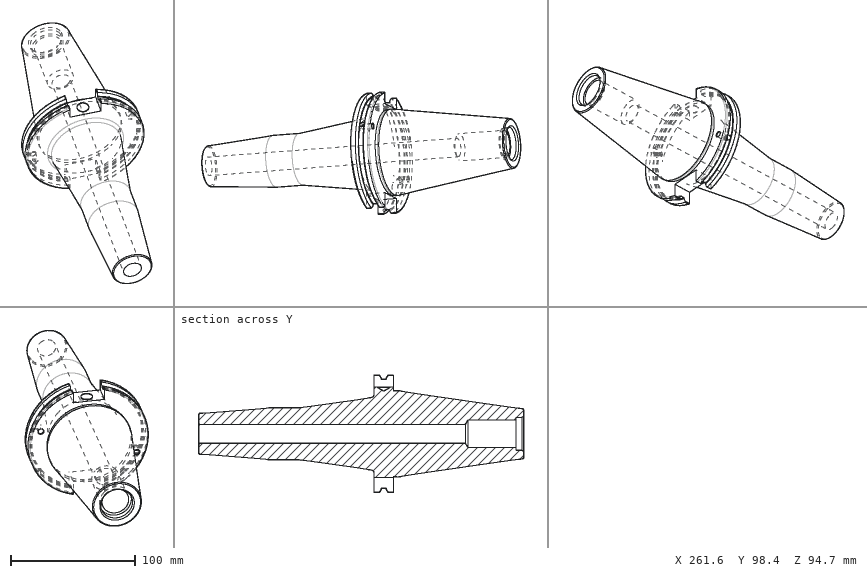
import cadquery as cq
import math

GAUGE_DIA = 69.85
TAPER_RATIO = 7 / 24
TAPER_LENGTH = 101.6
TAPER_END_CHAMFER = 0.8
RELIEF_DIA = 69.25
RELIEF_CHAMFER_LENGTH = 1.3

FLANGE_DIA = 98.43
FLANGE_START = 3.175
FLANGE_END = 19.05
FLANGE_FILLET = 1.0
GROOVE_MOUTH = 7.0
GROOVE_FLANK_DIA = 93.2
GROOVE_FLOOR_DIA = 91.4
GROOVE_FLANK_ANGLE = 30

NOSE_LENGTH = 160.0
NECK_ROOT_DIA = 59.2
NECK_FILLET = 2.5
BARREL_DIA = 42.0
BARREL_START = 80.0
TIP_DIA = 33.0
TIP_HALF_ANGLE = 4.5
TIP_CHAMFER = 0.8

BORE_MOUTH_DIA = 28.4
BORE_MOUTH_CHAMFER = 1.73
PILOT_DIA = 26.2
PILOT_DEPTH = 6.3
THREAD_DIA = 21.97
THREAD_DEPTH = 45.0
THROUGH_DIA = 14.92

DRILL_HALF_ANGLE = 59

SLOT_WIDTH = 25.7
SLOT_MOUTH_CHAMFER = 0.6
UPPER_SLOT_FLOOR = 37.7
LOWER_SLOT_FLOOR = 35.3
DIMPLE_DIA = 9.53
DIMPLE_DEPTH = 0.5

COOLANT_ANGLE = 20
COOLANT_RADIUS = 42.0
COOLANT_DIA = 4.2
COOLANT_MOUTH_DIA = 5.0
CROSS_HOLE_DIA = 4.13

FLANGE_MIDDLE = (FLANGE_START + FLANGE_END) / 2
ARC_MIDPOINT_FRACTION = 1 - math.sqrt(0.5)


def make_body():
    """Revolve the whole outside about the X axis."""
    end_radius = (GAUGE_DIA - TAPER_LENGTH * TAPER_RATIO) / 2
    chamfer_radius = end_radius + TAPER_END_CHAMFER * TAPER_RATIO / 2
    flange_radius = FLANGE_DIA / 2
    floor_radius = GROOVE_FLOOR_DIA / 2
    flank_radius = GROOVE_FLANK_DIA / 2
    flank_run = (flange_radius - flank_radius) * math.tan(math.radians(GROOVE_FLANK_ANGLE))
    mouth_half = GROOVE_MOUTH / 2
    floor_half = mouth_half - flank_run
    fillet_offset = FLANGE_FILLET * ARC_MIDPOINT_FRACTION
    shoulder_radius = flange_radius - FLANGE_FILLET

    neck_slope = (NECK_ROOT_DIA - BARREL_DIA) / 2 / (BARREL_START - FLANGE_END)
    neck_start = FLANGE_END + NECK_FILLET
    neck_radius = NECK_ROOT_DIA / 2 - NECK_FILLET * neck_slope
    neck_arc_offset = NECK_FILLET * ARC_MIDPOINT_FRACTION
    barrel_radius = BARREL_DIA / 2
    tip_radius = TIP_DIA / 2
    tip_slope = math.tan(math.radians(TIP_HALF_ANGLE))
    barrel_end = NOSE_LENGTH - (barrel_radius - tip_radius) / tip_slope

    profile = (
        cq.Workplane("XY")
        .moveTo(-TAPER_LENGTH, 0)
        .lineTo(-TAPER_LENGTH, end_radius - TAPER_END_CHAMFER)
        .lineTo(TAPER_END_CHAMFER - TAPER_LENGTH, chamfer_radius)
        .lineTo(0, GAUGE_DIA / 2)
        .lineTo(RELIEF_CHAMFER_LENGTH, RELIEF_DIA / 2)
        .lineTo(FLANGE_START, RELIEF_DIA / 2)
        .lineTo(FLANGE_START, shoulder_radius)
        .threePointArc(
            (FLANGE_START + fillet_offset, flange_radius - fillet_offset),
            (FLANGE_START + FLANGE_FILLET, flange_radius),
        )
        .lineTo(FLANGE_MIDDLE - mouth_half, flange_radius)
        .lineTo(FLANGE_MIDDLE - floor_half, flank_radius)
        .lineTo(FLANGE_MIDDLE - floor_half, floor_radius)
        .lineTo(FLANGE_MIDDLE + floor_half, floor_radius)
        .lineTo(FLANGE_MIDDLE + floor_half, flank_radius)
        .lineTo(FLANGE_MIDDLE + mouth_half, flange_radius)
        .lineTo(FLANGE_END - FLANGE_FILLET, flange_radius)
        .threePointArc(
            (FLANGE_END - fillet_offset, flange_radius - fillet_offset),
            (FLANGE_END, shoulder_radius),
        )
        .lineTo(FLANGE_END, neck_radius + NECK_FILLET)
        .threePointArc(
            (FLANGE_END + neck_arc_offset, neck_radius + neck_arc_offset),
            (neck_start, neck_radius),
        )
        .lineTo(BARREL_START, barrel_radius)
        .lineTo(barrel_end, barrel_radius)
        .lineTo(NOSE_LENGTH - TIP_CHAMFER, tip_radius + TIP_CHAMFER * tip_slope)
        .lineTo(NOSE_LENGTH, tip_radius - TIP_CHAMFER)
        .lineTo(NOSE_LENGTH, 0)
        .close()
    )
    return profile.revolve(360, (0, 0, 0), (1, 0, 0))


def make_bore():
    """Stepped through bore: chamfered pilot, thread bore, drill cone and coolant passage."""
    start = -TAPER_LENGTH
    cone_length = (THREAD_DIA - THROUGH_DIA) / 2 / math.tan(math.radians(DRILL_HALF_ANGLE))
    profile = (
        cq.Workplane("XY")
        .moveTo(start, 0)
        .lineTo(start, BORE_MOUTH_DIA / 2)
        .lineTo(start + BORE_MOUTH_CHAMFER, PILOT_DIA / 2)
        .lineTo(start + PILOT_DEPTH, PILOT_DIA / 2)
        .lineTo(start + PILOT_DEPTH, THREAD_DIA / 2)
        .lineTo(start + THREAD_DEPTH, THREAD_DIA / 2)
        .lineTo(start + THREAD_DEPTH + cone_length, THROUGH_DIA / 2)
        .lineTo(NOSE_LENGTH, THROUGH_DIA / 2)
        .lineTo(NOSE_LENGTH, 0)
        .close()
    )
    return profile.revolve(360, (0, 0, 0), (1, 0, 0))


def make_slot(floor, side):
    """Drive slot through the flange with 45 degree mouth chamfers; side is +1 for +Z and -1 for -Z."""
    half_width = SLOT_WIDTH / 2
    top = FLANGE_DIA / 2
    mouth_half_width = half_width + SLOT_MOUTH_CHAMFER
    mouth_height = math.sqrt(top**2 - mouth_half_width**2)
    chamfer_start = mouth_height - SLOT_MOUTH_CHAMFER
    top_half_width = half_width + top - chamfer_start
    outline = [
        (-half_width, floor),
        (half_width, floor),
        (half_width, chamfer_start),
        (top_half_width, top),
        (-top_half_width, top),
        (-half_width, chamfer_start),
    ]
    points = [(y, side * z) for y, z in outline]
    face = cq.Workplane("YZ", origin=(FLANGE_START, 0, 0))
    return face.polyline(points).close().extrude(FLANGE_END - FLANGE_START)


def make_dimple():
    """Conical-bottomed hole in the floor of the upper slot."""
    radius = DIMPLE_DIA / 2
    straight_end = UPPER_SLOT_FLOOR - DIMPLE_DEPTH
    cone_tip = straight_end - radius / math.tan(math.radians(DRILL_HALF_ANGLE))
    profile = (
        cq.Workplane("XZ")
        .moveTo(0, cone_tip)
        .lineTo(radius, straight_end)
        .lineTo(radius, UPPER_SLOT_FLOOR)
        .lineTo(0, UPPER_SLOT_FLOOR)
        .close()
    )
    return profile.revolve(360, (0, 0, 0), (0, 1, 0)).translate((FLANGE_MIDDLE, 0, 0))


def make_coolant_hole(angle):
    """Countersunk axial hole in the flange face, met by a radial hole from the groove floor."""
    countersink = (COOLANT_MOUTH_DIA - COOLANT_DIA) / 2
    depth = FLANGE_MIDDLE - FLANGE_START
    face = cq.Workplane("YZ", origin=(FLANGE_START, COOLANT_RADIUS, 0))
    drilling = face.circle(COOLANT_DIA / 2).extrude(depth)
    mouth = cq.Solid.makeCone(
        COOLANT_MOUTH_DIA / 2,
        COOLANT_DIA / 2,
        countersink,
        cq.Vector(FLANGE_START, COOLANT_RADIUS, 0),
        cq.Vector(1, 0, 0),
    )
    cross_hole = (
        cq.Workplane("XZ", origin=(FLANGE_MIDDLE, COOLANT_RADIUS, 0))
        .circle(CROSS_HOLE_DIA / 2)
        .extrude(COOLANT_RADIUS - FLANGE_DIA / 2)
    )
    hole = drilling.union(cq.Workplane(mouth)).union(cross_hole)
    return hole.rotate((0, 0, 0), (1, 0, 0), angle)


result = make_body().cut(make_bore())
result = result.cut(make_slot(UPPER_SLOT_FLOOR, 1))
result = result.cut(make_slot(LOWER_SLOT_FLOOR, -1))
result = result.cut(make_dimple())
for turn in (0, 180):
    result = result.cut(make_coolant_hole(COOLANT_ANGLE + turn))